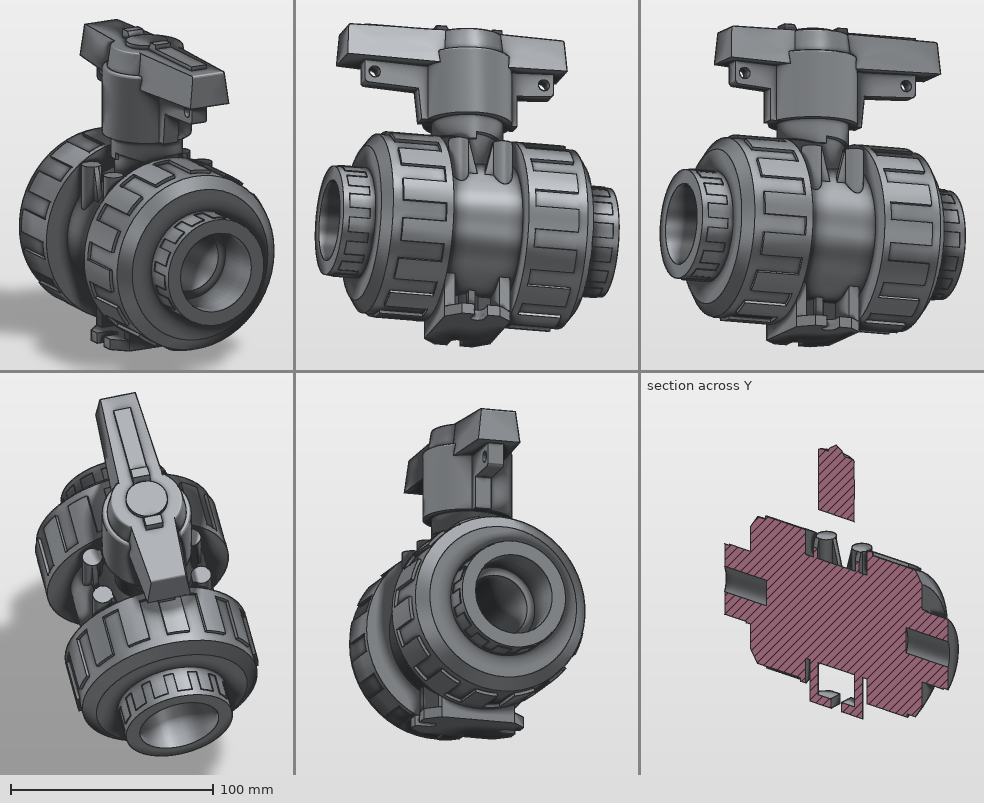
import cadquery as cq
import math


LENGTH = 141.0
BODY_RADIUS = 34.1
BORE_RADIUS = 16.0
SOCKET_RADIUS = 20.0
SOCKET_DEPTH = 26.4

NUT_RADIUS = 92.0 / 2
NUT_ROOT_RADIUS = 44.4
NUT_FACE_RADIUS = 38.3
NUT_INNER_X = 19.2
NUT_OUTER_X = 54.3
NUT_CHAMFER_X = 49.8
NUT_COLLAR_X = 22.8
NUT_RIB_END_X = 44.8

END_RADIUS = 27.5
END_ROOT_RADIUS = 27.0
END_COLLAR_X = 56.9
END_RIB_END_X = LENGTH / 2 - 3.1

RIB_COUNT = 14
NUT_RIB_ANGLE = 14.3
NUT_RIB_OFFSET = 5.8
END_RIB_ANGLE = 15.5
END_RIB_OFFSET = 5.1

FOOT_BOTTOM = -51.0
FOOT_THICKNESS = 5.3
FOOT_LENGTH = 33.5
FOOT_WIDTH = 52.1
FOOT_CHAMFER = 7.1
FOOT_SLOT_RADIUS = 3.4
FOOT_SLOT_STRAIGHT = 6.0
LEG_THICKNESS = 5.5
LEG_WIDTH = 37.8
FOOT_WALL_THICKNESS = 3.7
FOOT_BOSS_RADIUS = 5.5
FOOT_RIB_THICKNESS = 3.5
FOOT_RIB_WIDTH = 17

POST_RADIUS = 5.0
POST_X = 11.2
POST_Y = 25.0
POST_TOP = 38.8
GUSSET_THICKNESS = 2.6
GUSSET_REACH = 4.3
GUSSET_BOTTOM = 21.7
SIDE_GUSSET_SHIFT = 2.0

STEM_RADIUS = 15.8
SKIRT_RADIUS = 17.7
SKIRT_BOTTOM = 43.0
SKIRT_STEP = 3.4
SKIRT_FLAT = 5.7
SKIRT_TOP = 70.9

SLEEVE_RADIUS = 22.0
SLEEVE_BOTTOM = 55.0
SLEEVE_TOP = 89.0
SLEEVE_FILLET = 1.4
SLOT_WIDTH = 10.0
SLOT_TOP = 83.1
HUB_TOP = 99.9
HUB_BASE_RADIUS = 19.5
HUB_TOP_RADIUS = 17.8
HUB_FILLET = 1.1

ARM_LEFT_X = -48.2
ARM_RIGHT_X = 64.0
ARM_END_SLANT = 1.1
ARM_ROOT_X = 11.6
ARM_END_BOTTOM = 83.8
ARM_ROOT_BOTTOM = 82.2
ARM_END_HALF_WIDTHS = (10.9, 8.8)
ARM_ROOT_HALF_WIDTHS = (13.8, 11.2)
ARM_FILLET = 1.2

WEB_THICKNESS = 8.2
WEB_LEFT_X = -43.1
WEB_RIGHT_X = 53.4
WEB_LUG_BOTTOM = 72.1
WEB_SHOULDER_Z = 70.9
WEB_STEM_X = 24.4
WEB_SHOULDER_RIGHT_X = 26.0
WEB_CORNER_RADIUS = 2.0
WEB_HOLE_RADIUS = 2.8
WEB_HOLE_Z = 77.7
WEB_HOLE_INSET = 5.0

CAP_RADIUS = 10.2
CAP_TOP = 101.9
STRIP_TOP = 101.9
STRIP_WIDTH = 8.5
STOP_TOP = 155.1 + FOOT_BOTTOM
STOP_OUTER_X = 16.8
STOP_INNER_X = 11.8
STOP_SLOPE = 2.6


def box_between(x0, x1, width, z0, z1):
    """Box centred on Y = 0."""
    return cq.Workplane("XY").box(x1 - x0, width, z1 - z0, centered=False).translate((x0, -width / 2, z0))


def cylinder(radius, z0, z1):
    return cq.Workplane("XY").workplane(offset=z0).circle(radius).extrude(z1 - z0)


def plate_xz(points, thickness):
    """Plate with an XZ outline, centred on Y = 0."""
    return cq.Workplane("XZ").polyline(points).close().extrude(thickness / 2, both=True)


def grip_pockets(x_start, x_end, root_radius, rib_radius, rib_angle, rib_offset):
    """Cutters between equally spaced grip ribs around the X axis; angles run from -Y toward +Z."""
    pitch = 360 / RIB_COUNT
    pocket_profile = cq.Workplane("XY").polyline([
        (x_start, -root_radius),
        (x_end, -root_radius),
        (x_end, -rib_radius - 1.5),
        (x_start, -rib_radius - 1.5),
    ])
    pocket = pocket_profile.close().revolve(pitch - rib_angle, (0, 0), (-1, 0)).val()
    first_angle = rib_offset + rib_angle / 2
    axis_end = cq.Vector(-1, 0, 0)
    return [
        pocket.rotate(cq.Vector(0, 0, 0), axis_end, first_angle + index * pitch)
        for index in range(RIB_COUNT)
    ]


def pipe():
    """Body, union nuts and end connectors turned as one piece, with grip pockets on both ends."""
    half_outline = [
        (LENGTH / 2, 0),
        (LENGTH / 2, END_ROOT_RADIUS),
        (END_RIB_END_X, END_ROOT_RADIUS),
        (END_RIB_END_X, END_RADIUS),
        (NUT_OUTER_X, END_RADIUS),
        (NUT_OUTER_X, NUT_FACE_RADIUS),
        (NUT_CHAMFER_X, NUT_ROOT_RADIUS),
        (NUT_RIB_END_X, NUT_ROOT_RADIUS),
        (NUT_RIB_END_X, NUT_RADIUS),
        (NUT_INNER_X, NUT_RADIUS),
        (NUT_INNER_X, BODY_RADIUS),
    ]
    mirrored_outline = [(-x, radius) for x, radius in reversed(half_outline)]
    turned = cq.Workplane("XY").polyline(half_outline + mirrored_outline).close()
    turned = turned.revolve(360, (0, 0), (1, 0)).val()
    left_pockets = grip_pockets(
        -NUT_RIB_END_X, -NUT_COLLAR_X, NUT_ROOT_RADIUS, NUT_RADIUS, NUT_RIB_ANGLE, NUT_RIB_OFFSET
    )
    left_pockets += grip_pockets(
        -END_RIB_END_X, -END_COLLAR_X, END_ROOT_RADIUS, END_RADIUS, END_RIB_ANGLE, END_RIB_OFFSET
    )
    z_axis = cq.Vector(0, 0, 1)
    right_pockets = [pocket.rotate(cq.Vector(0, 0, 0), z_axis, 180) for pocket in left_pockets]
    return cq.Workplane(turned.cut(*left_pockets, *right_pockets))


def cut_bore(part):
    part = part.cut(cq.Workplane("YZ").circle(BORE_RADIUS).extrude(LENGTH, both=True))
    for face_x, depth in ((-LENGTH / 2, SOCKET_DEPTH), (LENGTH / 2, -SOCKET_DEPTH)):
        part = part.cut(cq.Workplane("YZ").workplane(offset=face_x).circle(SOCKET_RADIUS).extrude(depth))
    return part


def foot():
    plate_top = FOOT_BOTTOM + FOOT_THICKNESS
    half_length = FOOT_LENGTH / 2
    plate = box_between(-half_length, half_length, FOOT_WIDTH, FOOT_BOTTOM, plate_top)
    plate = plate.edges("|Z").chamfer(FOOT_CHAMFER)
    for side in (-1, 1):
        slot_length = 2 * (FOOT_SLOT_STRAIGHT + FOOT_SLOT_RADIUS)
        slot = (
            cq.Workplane("XY")
            .workplane(offset=FOOT_BOTTOM)
            .center(0, side * FOOT_WIDTH / 2)
            .slot2D(slot_length, 2 * FOOT_SLOT_RADIUS, 90)
            .extrude(FOOT_THICKNESS)
        )
        plate = plate.cut(slot)

    support_top = -BODY_RADIUS * 0.75
    supports = box_between(-half_length, half_length, FOOT_WALL_THICKNESS, plate_top, support_top)
    supports = supports.union(cylinder(FOOT_BOSS_RADIUS, plate_top, support_top))
    half_rib = FOOT_RIB_THICKNESS / 2
    supports = supports.union(box_between(-half_rib, half_rib, FOOT_RIB_WIDTH, plate_top, support_top))
    for x_start in (-half_length, half_length - LEG_THICKNESS):
        leg = box_between(x_start, x_start + LEG_THICKNESS, LEG_WIDTH, plate_top, support_top)
        supports = supports.union(leg)
    return plate.union(supports)


def post():
    """Post in the +X +Y quadrant, with a gusset toward each of the two middle planes."""
    base = BODY_RADIUS / 2 - 1.5
    pin = cylinder(POST_RADIUS, base, POST_TOP)
    gusset_outline = [
        (0, base),
        (0, POST_TOP),
        (-POST_RADIUS, POST_TOP),
        (-POST_RADIUS - GUSSET_REACH, GUSSET_BOTTOM),
        (-POST_RADIUS - GUSSET_REACH, base),
    ]
    gusset = plate_xz(gusset_outline, GUSSET_THICKNESS)
    side_gusset = gusset.rotate((0, 0, 0), (0, 0, 1), 90).translate((SIDE_GUSSET_SHIFT, 0, 0))
    return pin.union(gusset).union(side_gusset).translate((POST_X, POST_Y, 0))


def posts():
    corner = post()
    pair = corner.union(corner.mirror("YZ"))
    return pair.union(pair.mirror("XZ"))


def stem():
    """Stem with a skirt whose lower edge ramps up and drops back once per quarter turn."""
    skirt = cylinder(SKIRT_RADIUS, SKIRT_BOTTOM, SKIRT_TOP)
    ramp = (
        cq.Workplane("XZ")
        .polyline([
            (-SKIRT_FLAT, SKIRT_BOTTOM),
            (-SKIRT_RADIUS, SKIRT_BOTTOM + SKIRT_STEP),
            (-SKIRT_RADIUS, SKIRT_BOTTOM),
        ])
        .close()
        .extrude(SKIRT_RADIUS)
    )
    for quarter in range(4):
        skirt = skirt.cut(ramp.rotate((0, 0, 0), (0, 0, 1), 90 * quarter))
    return skirt.union(cylinder(STEM_RADIUS, BODY_RADIUS / 2, SKIRT_TOP))


def handle_hub():
    sleeve = cylinder(SLEEVE_RADIUS, SLEEVE_BOTTOM, SLEEVE_TOP).faces(">Z").edges().fillet(SLEEVE_FILLET)
    slot = box_between(-SLEEVE_RADIUS, SLEEVE_RADIUS, SLOT_WIDTH, SLEEVE_BOTTOM, SLOT_TOP)
    cone = (
        cq.Workplane("XZ")
        .polyline([
            (0, SLEEVE_TOP - 1.5),
            (HUB_BASE_RADIUS, SLEEVE_TOP - 1.5),
            (HUB_BASE_RADIUS, SLEEVE_TOP),
            (HUB_TOP_RADIUS, HUB_TOP),
            (0, HUB_TOP),
        ])
        .close()
        .revolve(360, (0, 0), (0, 1))
        .faces(">Z")
        .edges()
        .fillet(HUB_FILLET)
    )
    return sleeve.cut(slot).union(cone)


def arm_section(bottom_x, top_x, bottom_z, half_widths):
    bottom_half, top_half = half_widths
    corners = [
        (bottom_x, -bottom_half, bottom_z),
        (bottom_x, bottom_half, bottom_z),
        (top_x, top_half, HUB_TOP),
        (top_x, -top_half, HUB_TOP),
    ]
    return cq.Wire.makePolygon([cq.Vector(*corner) for corner in corners], close=True)


def handle_arm(end_x):
    """Tapered arm from the hub out to end_x."""
    direction = math.copysign(1, end_x)
    root_x = direction * ARM_ROOT_X
    end_top_x = end_x - direction * ARM_END_SLANT
    root = arm_section(root_x, root_x, ARM_ROOT_BOTTOM, ARM_ROOT_HALF_WIDTHS)
    end = arm_section(end_x, end_top_x, ARM_END_BOTTOM, ARM_END_HALF_WIDTHS)
    arm = cq.Workplane(cq.Solid.makeLoft([root, end], True))
    outer_end = ">X" if direction > 0 else "<X"
    return arm.faces(">Z").edges(outer_end).fillet(ARM_FILLET)


def handle_web():
    lug_top = ARM_END_BOTTOM + 1.5
    web = plate_xz(
        [
            (WEB_LEFT_X, lug_top),
            (WEB_LEFT_X, WEB_LUG_BOTTOM),
            (-WEB_STEM_X, WEB_SHOULDER_Z),
            (-WEB_STEM_X, SLEEVE_BOTTOM),
            (WEB_STEM_X, SLEEVE_BOTTOM),
            (WEB_SHOULDER_RIGHT_X, WEB_SHOULDER_Z),
            (WEB_RIGHT_X, WEB_LUG_BOTTOM),
            (WEB_RIGHT_X, lug_top),
        ],
        WEB_THICKNESS,
    )
    for x in (WEB_LEFT_X, WEB_RIGHT_X):
        corner = cq.selectors.NearestToPointSelector((x, 0, WEB_LUG_BOTTOM))
        web = web.edges("|Y").edges(corner).fillet(WEB_CORNER_RADIUS)
    for x in (WEB_LEFT_X + WEB_HOLE_INSET, WEB_RIGHT_X - WEB_HOLE_INSET):
        hole = cq.Workplane("XZ").center(x, WEB_HOLE_Z).circle(WEB_HOLE_RADIUS)
        web = web.cut(hole.extrude(WEB_THICKNESS, both=True))
    return web


def handle_top():
    """Round cap, two sloped stops beside it and a raised strip along the long arm."""
    details = cylinder(CAP_RADIUS, HUB_TOP - 1.5, CAP_TOP)
    stop = plate_xz(
        [
            (STOP_OUTER_X, HUB_TOP - 1.5),
            (STOP_OUTER_X, STOP_TOP),
            (STOP_INNER_X, STOP_TOP),
            (STOP_INNER_X - STOP_SLOPE, HUB_TOP),
            (STOP_INNER_X - STOP_SLOPE, HUB_TOP - 1.5),
        ],
        STRIP_WIDTH,
    )
    strip = box_between(STOP_INNER_X, WEB_RIGHT_X, STRIP_WIDTH, HUB_TOP - 1.5, STRIP_TOP)
    return details.union(stop).union(stop.mirror("YZ")).union(strip)


valve = pipe().union(foot()).union(posts()).union(stem())
valve = cut_bore(valve)
handle = handle_hub().union(handle_arm(ARM_LEFT_X)).union(handle_arm(ARM_RIGHT_X))
handle = handle.union(handle_web()).union(handle_top())
result = valve.union(handle)